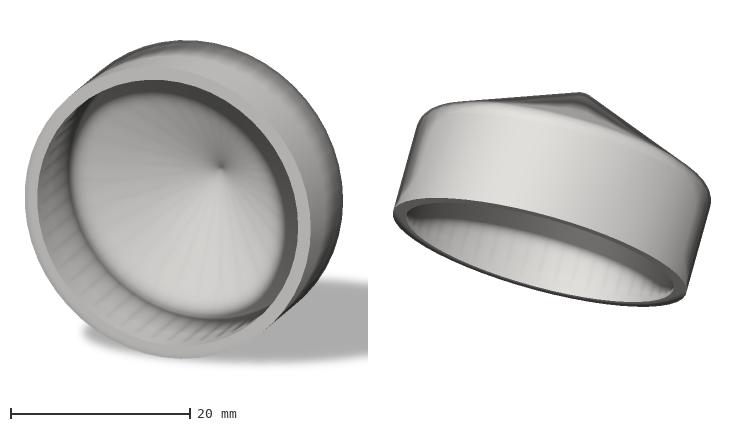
import math

import cadquery as cq

outer_diameter = 34.0
bore_diameter = 31.0
total_depth = 19.0
wall_depth = 10.2
rounding_radius = 2.0

wall_thickness = (outer_diameter - bore_diameter) / 2

shoulder_centre_radius = outer_diameter / 2 - rounding_radius
shoulder_centre_y = wall_depth
tip_centre_y = total_depth - rounding_radius
cone_angle = math.atan2(tip_centre_y - shoulder_centre_y, shoulder_centre_radius)


def point_on_rounding(centre_radius, centre_y, radius, angle):
    """Point on a rounding arc, with the angle measured from the radial direction toward +Y."""
    return (centre_radius + radius * math.cos(angle), centre_y + radius * math.sin(angle))


def revolved_cap(rounding):
    """Solid cap whose roundings keep the common centres, so a smaller radius gives an inward offset."""
    tangent_angle = math.pi / 2 - cone_angle
    shoulder = (shoulder_centre_radius, shoulder_centre_y, rounding)
    tip = (0, tip_centre_y, rounding)
    wall_radius = shoulder_centre_radius + rounding

    return (
        cq.Workplane("XY")
        .moveTo(0, 0)
        .lineTo(wall_radius, 0)
        .lineTo(wall_radius, wall_depth)
        .threePointArc(
            point_on_rounding(*shoulder, tangent_angle / 2),
            point_on_rounding(*shoulder, tangent_angle),
        )
        .lineTo(*point_on_rounding(*tip, tangent_angle))
        .threePointArc(
            point_on_rounding(*tip, (tangent_angle + math.pi / 2) / 2),
            (0, tip_centre_y + rounding),
        )
        .close()
        .revolve(360, (0, 0, 0), (0, 1, 0))
    )


outer_body = revolved_cap(rounding_radius)
cavity = revolved_cap(rounding_radius - wall_thickness)

result = outer_body.cut(cavity)